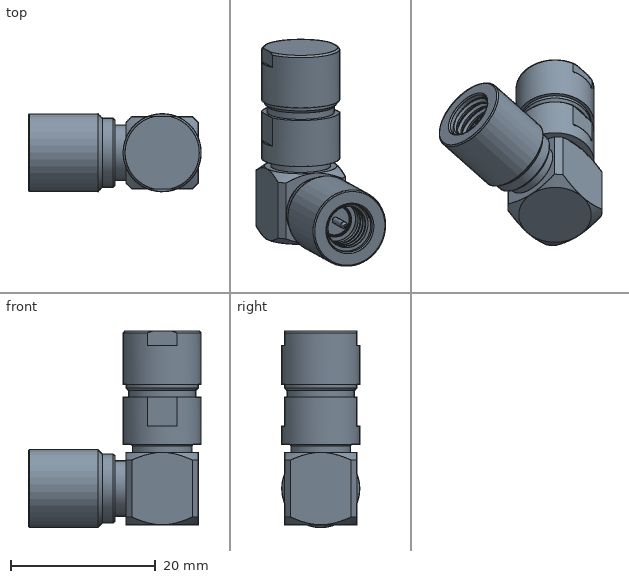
import cadquery as cq
import math


overall_length = 23.9
overall_height = 27.2
barrel_dia = 10.8
barrel_r = barrel_dia / 2
nut_front_x = barrel_r - overall_length
top_z = overall_height - barrel_r

block_size = 10.0
block_half = block_size / 2
block_edge_chamfer = 0.82
block_turning_angle = 35.0

cap_height = 7.4
cap_chamfer = 0.27
collar_r = block_half
collar_height = 0.5
collar_cone_height = 0.38
waist_r = 4.65
cap_gap = 1.77
lower_height = 6.53
lower_lip_r = 4.3
lower_lip_height = 0.2
lower_neck_r = 4.13

flat_spacing = block_size
cap_flat_height = 2.0
lower_flat_height = 4.0

nut_sides = 34
nut_front_chamfer = 0.2
knurl_end = 9.63
shoulder_r = 4.8
shoulder_end = 12.02
shoulder_chamfer = 0.3
elbow_neck_r = 3.85

entry_r = 3.55
counterbore_r = 3.37
counterbore_depth = 0.73
thread_minor_r = 2.88
thread_root_r = 3.35
thread_pitch = 0.95
thread_crest_width = 0.27
thread_root_width = 0.15
thread_turns = 5
thread_start_angle = 160.0
bore_depth = 5.17

sleeve_bore_r = 2.28
sleeve_chamfer = 0.1
insulator_r = 2.05
insulator_recess = 0.27
pin_r = 0.45
pin_tip_r = 0.15
pin_tip_depth = 1.77
pin_tip_length = 0.5


def turned(profile, axis_end):
    """Revolve an XZ profile, closed along its axis, one full turn."""
    return cq.Workplane("XZ").polyline(profile).close().revolve(360, (0, 0), axis_end)


def turned_about_z(radius_height):
    bottom = radius_height[0][1]
    top = radius_height[-1][1]
    return turned([(0, bottom)] + radius_height + [(0, top)], (0, 1))


def turned_about_x(depth_radius):
    """Depths run inward from the front face of the nut."""
    points = [(nut_front_x + depth, radius) for depth, radius in depth_radius]
    return turned([(points[0][0], 0)] + points + [(points[-1][0], 0)], (1, 0))


def elbow_block():
    block = cq.Workplane("XY").box(block_size, block_size, block_size)
    block = block.edges("|Z").chamfer(block_edge_chamfer)
    outer_r = block_size
    drop = (outer_r - block_half) * math.tan(math.radians(block_turning_angle))
    envelope = turned_about_z([
        (block_half, -block_half),
        (outer_r, drop - block_half),
        (outer_r, block_half - drop),
        (block_half, block_half),
    ])
    return block.intersect(envelope)


def vertical_body():
    cap_bottom = top_z - cap_height
    lower_top = cap_bottom - cap_gap
    lower_bottom = lower_top - lower_height
    collar_bottom = cap_bottom - collar_height
    body = turned_about_z([
        (lower_neck_r, 0),
        (lower_neck_r, lower_bottom - lower_lip_height),
        (lower_lip_r, lower_bottom),
        (barrel_r, lower_bottom),
        (barrel_r, lower_top),
        (waist_r, lower_top),
        (waist_r, collar_bottom - collar_cone_height),
        (collar_r, collar_bottom),
        (collar_r, cap_bottom),
        (barrel_r, cap_bottom),
        (barrel_r, top_z - cap_chamfer),
        (barrel_r - cap_chamfer, top_z),
    ])
    for flat_top, flat_height in ((top_z, cap_flat_height), (lower_top, lower_flat_height)):
        for side in (-1, 1):
            cutter = cq.Workplane("XY").box(barrel_dia, barrel_r, flat_height)
            offset = side * (flat_spacing + barrel_r) / 2
            body = body.cut(cutter.translate((0, offset, flat_top - flat_height / 2)))
    return body


def coupling_nut():
    envelope = turned_about_x([
        (0, barrel_r - nut_front_chamfer),
        (nut_front_chamfer, barrel_r),
        (knurl_end, barrel_r),
        (knurl_end + barrel_r - shoulder_r, shoulder_r),
        (shoulder_end - shoulder_chamfer, shoulder_r),
        (shoulder_end, shoulder_r - shoulder_chamfer),
    ])
    grip = (
        cq.Workplane("YZ", origin=(nut_front_x, 0, 0))
        .transformed(rotate=(0, 0, 90))
        .polygon(nut_sides, barrel_dia)
        .extrude(knurl_end)
    )
    rear = cq.Workplane("YZ", origin=(nut_front_x + knurl_end, 0, 0)).circle(barrel_r)
    rear = rear.extrude(shoulder_end - knurl_end)
    neck = turned_about_x([(shoulder_end, elbow_neck_r), (-nut_front_x, elbow_neck_r)])
    return envelope.intersect(grip.union(rear)).union(neck)


def plain_bore():
    return turned_about_x([
        (0, entry_r),
        (entry_r - counterbore_r, counterbore_r),
        (counterbore_depth, counterbore_r),
        (counterbore_depth, thread_minor_r),
        (bore_depth, thread_minor_r),
        (bore_depth, sleeve_bore_r),
        (bore_depth + sleeve_chamfer, sleeve_bore_r - sleeve_chamfer),
        (bore_depth + sleeve_chamfer, insulator_r),
        (bore_depth + insulator_recess, insulator_r),
    ])


def thread_groove():
    """Right-hand flat-bottomed groove; its first turn runs in through the counterbore."""
    root_half = thread_root_width / 2
    mouth_half = (thread_pitch - thread_crest_width) / 2
    overlap = 0.05
    inner_r = thread_minor_r - overlap
    flank_slope = (mouth_half - root_half) / (thread_root_r - thread_minor_r)
    inner_half = mouth_half + overlap * flank_slope
    path = cq.Workplane(cq.Wire.makeHelix(thread_pitch, thread_turns * thread_pitch, inner_r))
    section = [
        (inner_r, -inner_half),
        (thread_root_r, -root_half),
        (thread_root_r, root_half),
        (inner_r, inner_half),
    ]
    groove = cq.Workplane("XZ").polyline(section).close().sweep(path, isFrenet=True)
    first_turn_x = nut_front_x + counterbore_depth - thread_pitch
    return (
        groove.rotate((0, 0, 0), (0, 0, 1), thread_start_angle)
        .rotate((0, 0, 0), (0, 1, 0), 90)
        .translate((first_turn_x, 0, 0))
    )


def centre_pin():
    return turned_about_x([
        (pin_tip_depth, pin_tip_r),
        (pin_tip_depth + pin_tip_length, pin_r),
        (shoulder_end, pin_r),
    ])


result = (
    coupling_nut()
    .cut(plain_bore())
    .cut(thread_groove())
    .union(centre_pin())
    .union(elbow_block())
    .union(vertical_body())
)